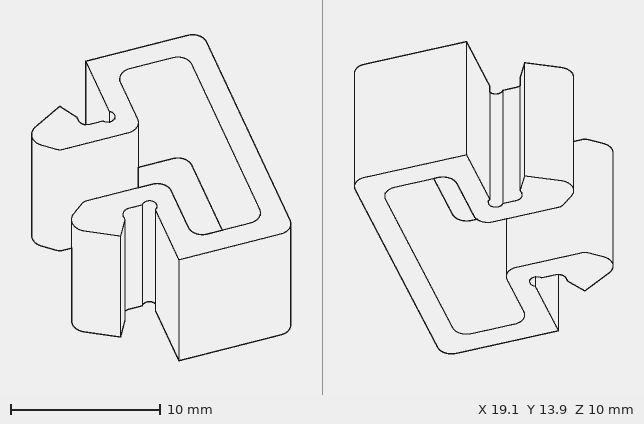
import cadquery as cq
import math

width = 19.11
depth = 13.87
height = 10.0

wall = 1.6
frame_depth = 8.22
ledge_thickness = 1.57
corner_radius = 1.0

gap = 4.93
leg_thickness = 1.57
relief_radius = 0.5
relief_offset = 0.27

hook_reach = 6.25
hook_depth = 11.2
throat_depth = 10.43
throat_radius = 0.6
nose_radius = 1.05
knee_radius = 0.6
barb_angle = math.radians(30)
lead_in_angle = math.radians(50)

half_width = width / 2
pocket_half_width = half_width - wall
leg_inner = gap / 2
leg_outer = leg_inner + leg_thickness
ledge_front = -frame_depth
ledge_back = ledge_front + ledge_thickness
ramp_start = hook_reach - (hook_depth - throat_depth) / math.tan(barb_angle)

relief_x = leg_outer + relief_offset
relief_y = ledge_front - relief_offset

nose_y = nose_radius - depth
nose_inset = nose_radius - (hook_depth + nose_y) * math.sin(barb_angle)
nose_x = hook_reach - nose_inset / math.cos(barb_angle)


def nose_point(angle):
    """Point on the nose at an angle from +X."""
    return nose_x + nose_radius * math.cos(angle), nose_y + nose_radius * math.sin(angle)


nose_start = nose_point(-barb_angle)
nose_bottom = nose_point(-math.pi / 2)
nose_end = nose_point(-math.pi / 2 - lead_in_angle)
knee_y = nose_end[1] + (nose_end[0] - leg_inner) * math.tan(lead_in_angle)


def round_corner(body, x, y, radius):
    """Round the upright edge that passes through (x, y)."""
    edge = cq.selectors.NearestToPointSelector((x, y, height / 2))
    return body.edges("|Z").edges(edge).fillet(radius)


half = (
    cq.Workplane("XY")
    .moveTo(0, 0)
    .lineTo(half_width, 0)
    .lineTo(half_width, ledge_front)
    .lineTo(leg_outer, ledge_front)
    .lineTo(leg_outer, -throat_depth)
    .lineTo(ramp_start, -throat_depth)
    .lineTo(hook_reach, -hook_depth)
    .lineTo(*nose_start)
    .threePointArc(nose_bottom, nose_end)
    .lineTo(leg_inner, knee_y)
    .lineTo(leg_inner, ledge_back)
    .lineTo(pocket_half_width, ledge_back)
    .lineTo(pocket_half_width, -wall)
    .lineTo(0, -wall)
    .close()
    .extrude(height)
)

rounded_corners = [
    (half_width, 0, corner_radius),
    (pocket_half_width, -wall, corner_radius),
    (pocket_half_width, ledge_back, corner_radius),
    (leg_inner, ledge_back, corner_radius),
    (leg_outer, -throat_depth, throat_radius),
    (leg_inner, knee_y, knee_radius),
]
for x, y, radius in rounded_corners:
    half = round_corner(half, x, y, radius)

relief = cq.Workplane("XY").center(relief_x, relief_y).circle(relief_radius).extrude(height)
half = half.cut(relief)

result = half.union(half.mirror("YZ")).clean()